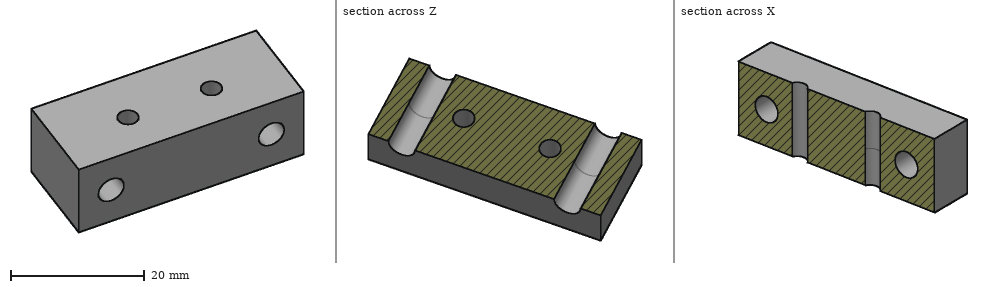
import cadquery as cq

width = 15.45
length = 38.1
height = 12.7

vertical_hole_diameter = 3.2
vertical_hole_spacing = 14.15
vertical_hole_offset = 0.72

cross_hole_diameter = 4.3
cross_hole_spacing = 27.13


def vertical_hole(y):
    """Cutter along Z through the full height."""
    radius = vertical_hole_diameter / 2
    return cq.Workplane("XY").center(vertical_hole_offset, y).circle(radius).extrude(height / 2, both=True)


def cross_hole(y):
    """Cutter along X through the full width."""
    radius = cross_hole_diameter / 2
    return cq.Workplane("YZ").center(y, 0).circle(radius).extrude(width / 2, both=True)


result = cq.Workplane("XY").box(width, length, height)
for side in (-1, 1):
    result = result.cut(vertical_hole(side * vertical_hole_spacing / 2))
    result = result.cut(cross_hole(side * cross_hole_spacing / 2))